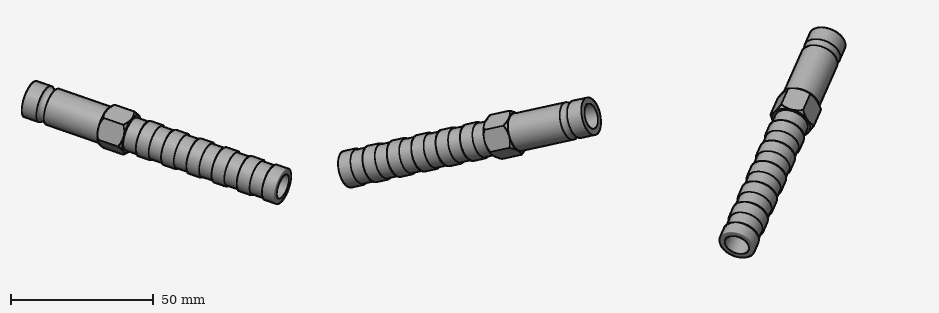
import cadquery as cq
import math

total_length = 100.0
bore_diameter = 9.0

plug_diameter = 13.5
plug_length = 30.0
groove_center = 7.3
groove_width = 3.0
groove_radius = 2.0

hex_across_flats = 14.0
hex_length = 10.0
hex_end = plug_length + hex_length
hex_across_corners = hex_across_flats / math.cos(math.radians(30))
hex_chamfer = (hex_across_corners - hex_across_flats) / 2

tail_diameter = 12.3
rib_diameter = 13.2
rib_length = 5.0
rib_pitch = 2 * rib_length
rib_fillet = 0.3
rib_count = round((total_length - hex_end) / rib_pitch)


def cylinder(start, length, diameter):
    """Solid cylinder along X."""
    return cq.Workplane("YZ", origin=(start, 0, 0)).circle(diameter / 2).extrude(length)


def make_plug():
    """Plug end: a plain cylinder with a round-bottomed groove turned around it."""
    chord_height = math.sqrt(groove_radius**2 - (groove_width / 2) ** 2)
    arc_center_distance = plug_diameter / 2 + chord_height
    groove = (
        cq.Workplane("XY")
        .center(groove_center, arc_center_distance)
        .circle(groove_radius)
        .revolve(360, (0, -arc_center_distance), (1, -arc_center_distance))
    )
    return cylinder(0, plug_length, plug_diameter).cut(groove)


def make_hexagon():
    """Hexagon whose corners are turned down to the flats' circle at both end faces."""
    hexagon = (
        cq.Workplane("YZ", origin=(plug_length, 0, 0))
        .polygon(6, hex_across_corners)
        .extrude(hex_length)
    )
    turned_blank = (
        cylinder(plug_length, hex_length, hex_across_corners)
        .faces("<X or >X")
        .chamfer(hex_chamfer)
    )
    return hexagon.intersect(turned_blank)


def make_rib(start):
    """Raised ring on the hose tail with both rims rounded."""
    return cylinder(start, rib_length, rib_diameter).edges("%CIRCLE").fillet(rib_fillet)


result = make_plug().union(make_hexagon())
result = result.union(cylinder(hex_end, total_length - hex_end, tail_diameter))
for index in range(rib_count):
    rib_start = hex_end + rib_length + index * rib_pitch
    result = result.union(make_rib(rib_start))
result = result.cut(cylinder(0, total_length, bore_diameter))